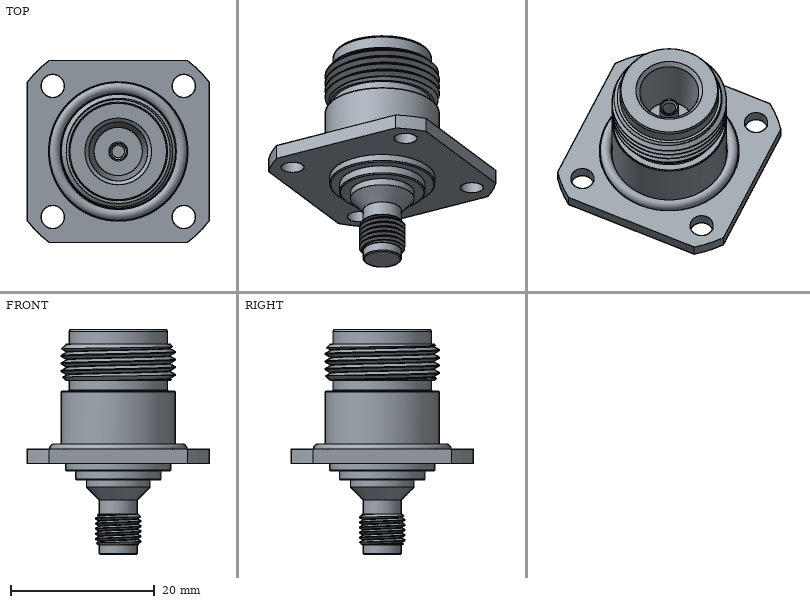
import cadquery as cq
import math

flange_side = 25.4
flange_corner_radius = 15.95
flange_thickness = 2.0
flange_top = 14.68
flange_bottom = flange_top - flange_thickness
mount_hole_diameter = 3.2
mount_hole_spacing = 18.25

total_height = 31.37
body_radius = 7.97
body_top = 22.77
body_edge_chamfer = 0.13
neck_radius = 6.87
rim_chamfer_width = 0.15
rim_chamfer_height = 0.28

first_step_radius = 7.35
first_step_bottom = 11.6
second_step_radius = 5.95
second_step_bottom = 10.35
third_step_radius = 4.45
cone_top = 9.38
cone_bottom = 7.6
stem_radius = 2.67
step_edge_chamfer = 0.15

mouth_radius = 4.65
bore_top_radius = 4.1
bore_floor_radius = 3.35
mouth_chamfer_height = mouth_radius - bore_top_radius
bore_depth = 9.1
contact_radius = 1.32
contact_top = 26.65
contact_mouth_radius = 1.13
contact_hole_radius = 0.88
contact_hole_depth = 3.75
contact_mouth_height = contact_mouth_radius - contact_hole_radius

upper_thread_bottom = 24.22
upper_thread_top = 29.3
upper_root_radius = 7.25
upper_turns = 4.8
upper_pitch = (upper_thread_top - upper_thread_bottom) / upper_turns
upper_ridge_start = 25.03

lower_thread_bottom = 1.32
lower_thread_top = 5.65
lower_crest_radius = 3.2
lower_root_radius = 2.75
lower_turns = 6.1
lower_pitch = (lower_thread_top - lower_thread_bottom) / lower_turns
lower_ridge_start = 1.82

crest_share = 1 / 8
flank_angle = 30.0
ridge_sink = 0.03
crest_clearance = 0.15

ring_section_radius = 0.75
ring_center_height = flange_top
ring_groove_width = 1.75
ring_groove_floor = ring_center_height - ring_section_radius
ring_center_radius = body_radius + ring_groove_width / 2


def cylinder(radius, bottom, top):
    return cq.Workplane("XY").workplane(offset=bottom).circle(radius).extrude(top - bottom)


def revolved(points):
    """Turn an outline of (radius, height) points around the Z axis."""
    return cq.Workplane("XZ").polyline(points).close().revolve(360, (0, 0, 0), (0, 1, 0))


def make_flange():
    square = cq.Workplane("XY").workplane(offset=flange_bottom)
    square = square.rect(flange_side, flange_side).extrude(flange_thickness)
    plate = square.intersect(cylinder(flange_corner_radius, flange_bottom, flange_top))
    holes = cq.Workplane("XY").workplane(offset=flange_bottom)
    holes = holes.rect(mount_hole_spacing, mount_hole_spacing, forConstruction=True).vertices()
    return plate.cut(holes.circle(mount_hole_diameter / 2).extrude(flange_thickness))


def make_upper_barrel():
    return revolved([
        (0, flange_bottom),
        (body_radius, flange_bottom),
        (body_radius, body_top - body_edge_chamfer),
        (body_radius - body_edge_chamfer, body_top),
        (neck_radius + body_edge_chamfer, body_top),
        (neck_radius, body_top + body_edge_chamfer),
        (neck_radius, total_height - rim_chamfer_height),
        (neck_radius - rim_chamfer_width, total_height),
        (0, total_height),
    ])


def make_lower_barrel():
    return revolved([
        (0, 0),
        (stem_radius - step_edge_chamfer, 0),
        (stem_radius, step_edge_chamfer),
        (stem_radius, cone_bottom),
        (third_step_radius, cone_top),
        (third_step_radius, second_step_bottom),
        (second_step_radius - step_edge_chamfer, second_step_bottom),
        (second_step_radius, second_step_bottom + step_edge_chamfer),
        (second_step_radius, first_step_bottom),
        (first_step_radius - step_edge_chamfer, first_step_bottom),
        (first_step_radius, first_step_bottom + step_edge_chamfer),
        (first_step_radius, flange_top),
        (0, flange_top),
    ])


def make_socket_cavity():
    """The tapered bore, leaving the hollow contact standing on its floor."""
    floor = total_height - bore_depth
    bore = revolved([
        (0, floor),
        (bore_floor_radius, floor),
        (bore_top_radius, total_height - mouth_chamfer_height),
        (mouth_radius, total_height),
        (0, total_height),
    ])
    contact = cylinder(contact_radius, floor, contact_top)
    contact_hole = revolved([
        (0, contact_top - contact_hole_depth),
        (contact_hole_radius, contact_top - contact_hole_depth),
        (contact_hole_radius, contact_top - contact_mouth_height),
        (contact_mouth_radius, contact_top),
        (0, contact_top),
    ])
    return bore.cut(contact.cut(contact_hole))


def make_thread(bottom, top, crest_radius, root_radius, pitch, ridge_start):
    """A right-handed helical ridge on a core, with both ends cut flat and chamfered to the root."""
    flank_slope = math.tan(math.radians(flank_angle))
    half_crest = pitch * crest_share / 2
    foot_radius = root_radius - ridge_sink
    half_foot = half_crest + (crest_radius - foot_radius) * flank_slope

    start = ridge_start - pitch * math.ceil((ridge_start - bottom) / pitch + 1)
    turns = math.ceil((top - start) / pitch) + 1
    helix = cq.Wire.makeHelix(pitch, turns * pitch, root_radius).translate(cq.Vector(0, 0, start))
    ridge = cq.Workplane("XZ").polyline([
        (foot_radius, start - half_foot),
        (crest_radius, start - half_crest),
        (crest_radius, start + half_crest),
        (foot_radius, start + half_foot),
    ]).close().sweep(cq.Workplane(helix), isFrenet=True)
    core = cylinder(root_radius, start - pitch, start + (turns + 1) * pitch)

    envelope_radius = crest_radius + crest_clearance
    chamfer = envelope_radius - root_radius
    envelope = cylinder(envelope_radius, bottom, top).faces("<Z or >Z").chamfer(chamfer)
    return ridge.union(core).intersect(envelope)


def make_ring_groove():
    outer = cylinder(body_radius + ring_groove_width, ring_groove_floor, flange_top)
    return outer.cut(cylinder(body_radius, ring_groove_floor, flange_top))


def make_housing():
    upper_thread = make_thread(
        upper_thread_bottom, upper_thread_top, body_radius, upper_root_radius,
        upper_pitch, upper_ridge_start,
    )
    lower_thread = make_thread(
        lower_thread_bottom, lower_thread_top, lower_crest_radius, lower_root_radius,
        lower_pitch, lower_ridge_start,
    )
    housing = make_flange().cut(make_ring_groove())
    housing = housing.union(make_upper_barrel()).union(make_lower_barrel())
    housing = housing.union(upper_thread).union(lower_thread)
    return housing.cut(make_socket_cavity())


def make_sealing_ring():
    ring = cq.Workplane("XZ").center(ring_center_radius, ring_center_height)
    ring = ring.circle(ring_section_radius)
    return ring.revolve(360, (-ring_center_radius, 0, 0), (-ring_center_radius, 1, 0))


housing = make_housing()
sealing_ring = make_sealing_ring()
result = cq.Compound.makeCompound([housing.solids().val(), sealing_ring.val()])